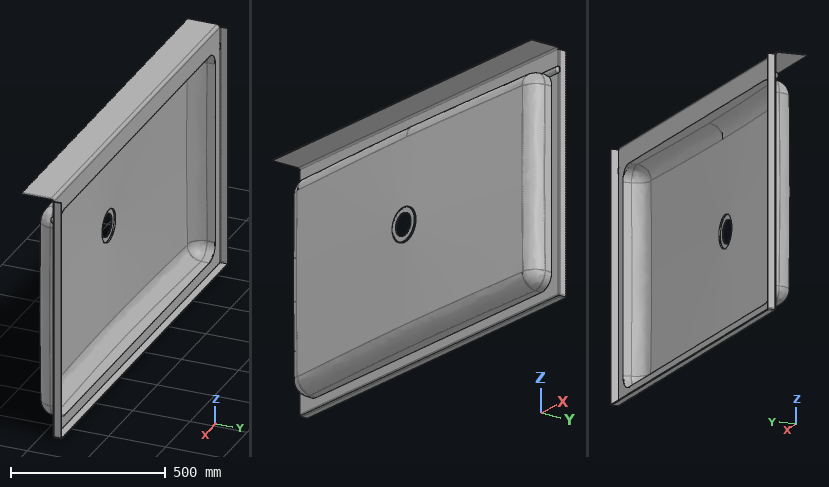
import cadquery as cq


width = 1371.6
depth = 139.7
height = 863.6
sheet = 4.0

x_side = width / 2
y_back = depth / 2
y_front = -depth / 2
z_top = height / 2
z_bottom = -height / 2

flange_rise = 26.0
deck_top_y = y_back - flange_rise
deck_under_y = deck_top_y - sheet
flange_bend = 8.0
deck_edge_round = 7.5
apron_bend = 10.0
apron_inset = 2.5
apron_end_round = 3.5
flange_top_z = z_top - apron_bend

basin_side_margin = 38.1
basin_bottom_margin = 39.0
threshold_width = 72.0
basin_x = x_side - basin_side_margin
basin_bottom_z = z_bottom + basin_bottom_margin
basin_top_z = z_top - threshold_width
wall_draft = 2.0
basin_round = 54.0

floor_fall = 0.036
floor_apex_y = -61.5

drain_boss_y = -65.0
drain_boss_diameter = 122.0
drain_hole_diameter = 80.0
drain_boss_chamfer = 2.5

bead_radius = 13.0
bead_rise = 8.5
bead_z = 352.0


def box(x_range, y_range, z_range):
    sizes = [high - low for low, high in (x_range, y_range, z_range)]
    corner = (x_range[0], y_range[0], z_range[0])
    return cq.Workplane("XY").box(*sizes, centered=False).translate(corner)


def drain_cylinder(diameter, y_start, y_end):
    """Cylinder about the drain axis, from y_start down to y_end."""
    return (
        cq.Workplane("XZ", origin=(0, y_start, 0))
        .circle(diameter / 2)
        .extrude(y_start - y_end)
    )


def make_tray_rim():
    """Deck with upturned flanges along both sides and the bottom edge."""
    rim = box((-x_side, x_side), (deck_under_y, y_back), (z_bottom, flange_top_z))
    rim = rim.edges("|Y and <Z").fillet(flange_bend)
    rim = rim.faces("<Y").edges("not >Z").fillet(deck_edge_round)
    upper = box(
        (-x_side + sheet, x_side - sheet),
        (deck_top_y, y_back),
        (z_bottom + sheet, flange_top_z),
    )
    return rim.cut(upper)


def make_apron():
    """Threshold apron that turns from the deck towards -Y through a bend."""
    apron_x = x_side - apron_inset
    inner_bend = apron_bend - sheet
    profile = (
        cq.Workplane("YZ", origin=(-apron_x, 0, 0))
        .moveTo(deck_top_y, flange_top_z)
        .radiusArc((deck_top_y - apron_bend, z_top), -apron_bend)
        .lineTo(y_front, z_top)
        .lineTo(y_front, z_top - sheet)
        .lineTo(deck_top_y - apron_bend, z_top - sheet)
        .radiusArc((deck_under_y, z_top - sheet - inner_bend), inner_bend)
        .close()
    )
    apron = profile.extrude(2 * apron_x)
    return apron.edges("|Y and >Z").fillet(apron_end_round)


def make_bead():
    """Rounded bead along the whole width, standing off the deck underside."""
    centre_y = deck_under_y - bead_rise + bead_radius
    bead = (
        cq.Workplane("YZ", origin=(-x_side, 0, 0))
        .center(centre_y, bead_z)
        .circle(bead_radius)
        .extrude(width)
    )
    bead = bead.faces("<X or >X").edges().fillet(flange_bend)
    below_deck = box((-x_side, x_side), (y_front, deck_top_y), (z_bottom, z_top))
    return bead.intersect(below_deck)


def make_basin_block(inset):
    """Solid basin with drafted walls and a conical floor, every face moved inwards by inset."""
    size_x = 2 * (basin_x - inset)
    size_z = basin_top_z - basin_bottom_z - 2 * inset
    centre_z = (basin_top_z + basin_bottom_z) / 2
    block = (
        cq.Workplane("XZ", origin=(0, deck_top_y, centre_z))
        .rect(size_x, size_z)
        .extrude(deck_top_y - y_front, taper=wall_draft)
    )
    block = block.edges("not (|X or |Z)").fillet(basin_round - inset)

    apex_y = floor_apex_y + inset
    reach = width
    below_floor = (
        cq.Workplane("ZY")
        .moveTo(0, apex_y)
        .lineTo(reach, apex_y + floor_fall * reach)
        .lineTo(reach, apex_y - depth)
        .lineTo(0, apex_y - depth)
        .close()
        .revolve(360, (0, 0, 0), (0, 1, 0))
    )
    block = block.cut(below_floor)
    return block.faces("<Y").edges("not %LINE").fillet(basin_round - inset)


def make_drain_boss():
    boss = drain_cylinder(drain_boss_diameter, floor_apex_y + sheet, drain_boss_y)
    return boss.faces("<Y").edges().chamfer(drain_boss_chamfer)


def make_tray():
    tray = make_tray_rim().union(make_apron()).union(make_bead())
    tray = tray.union(make_basin_block(0)).union(make_drain_boss())
    tray = tray.cut(make_basin_block(sheet))
    recess_diameter = drain_boss_diameter - 2 * sheet
    tray = tray.cut(drain_cylinder(recess_diameter, y_back, drain_boss_y + sheet))
    return tray.cut(drain_cylinder(drain_hole_diameter, y_back, y_front))


result = make_tray()